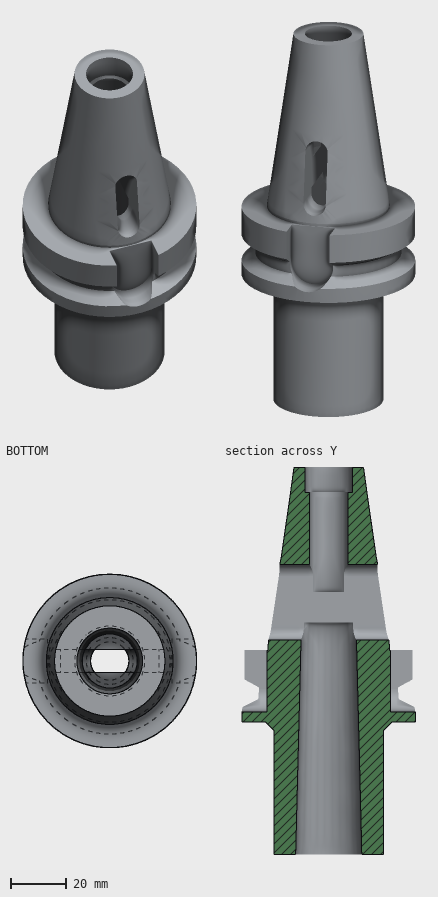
import cadquery as cq
import math


gauge_diameter = 44.45
taper_length = 65.4
taper_ratio = 7 / 24
small_end_diameter = gauge_diameter - taper_length * taper_ratio

flange_diameter = 63.0
flange_top_z = -1.0
flange_bottom_z = -27.0
groove_root_diameter = 53.0
groove_centre_z = -16.6
groove_mouth_width = 10.0
groove_flank_angle = 30.0

nose_diameter = 40.0
nose_end_z = -75.0
nose_cone_height = 3.0
nose_cone_diameter = nose_diameter + 2 * nose_cone_height

key_slot_width = 16.1
key_slot_floor_x = 22.5
key_slot_bottom_z = -23.2

drift_slot_width = 8.3
drift_slot_bottom_z = 2.8
drift_slot_height = 27.3

mouth_diameter = 17.0
mouth_depth = 9.0
draw_bar_hole_diameter = 13.835
draw_bar_hole_bottom_z = 20.0

socket_mouth_diameter = 23.825
socket_taper_ratio = 1 / 19.922
socket_depth = 84.0
socket_top_diameter = socket_mouth_diameter - socket_depth * socket_taper_ratio


def make_body():
    """Revolved outer shape: taper, grooved flange and nose."""
    groove_depth = (flange_diameter - groove_root_diameter) / 2
    flank_height = groove_depth * math.tan(math.radians(groove_flank_angle))
    mouth_half = groove_mouth_width / 2
    root_half = mouth_half - flank_height
    profile = [
        (0, taper_length),
        (-small_end_diameter / 2, taper_length),
        (-gauge_diameter / 2, 0),
        (-gauge_diameter / 2, flange_top_z),
        (-flange_diameter / 2, flange_top_z),
        (-flange_diameter / 2, groove_centre_z + mouth_half),
        (-groove_root_diameter / 2, groove_centre_z + root_half),
        (-groove_root_diameter / 2, groove_centre_z - root_half),
        (-flange_diameter / 2, groove_centre_z - mouth_half),
        (-flange_diameter / 2, flange_bottom_z),
        (-nose_cone_diameter / 2, flange_bottom_z),
        (-nose_diameter / 2, flange_bottom_z - nose_cone_height),
        (-nose_diameter / 2, nose_end_z),
        (0, nose_end_z),
    ]
    return cq.Workplane("YZ").polyline(profile).close().revolve(360, (0, 0), (0, 1))


def make_key_slot(side):
    """Round-bottomed slot, open at the flange top, on the +X (1) or -X (-1) side."""
    half_width = key_slot_width / 2
    arc_centre_z = key_slot_bottom_z + half_width
    return (
        cq.Workplane("YZ", origin=(side * key_slot_floor_x, 0, 0))
        .moveTo(-half_width, flange_top_z)
        .lineTo(-half_width, arc_centre_z)
        .threePointArc((0, key_slot_bottom_z), (half_width, arc_centre_z))
        .lineTo(half_width, flange_top_z)
        .close()
        .extrude(side * flange_diameter / 2)
    )


def make_drift_slot():
    """Upright slot with round ends, cut right through along X."""
    centre_z = drift_slot_bottom_z + drift_slot_height / 2
    return (
        cq.Workplane("YZ")
        .center(0, centre_z)
        .slot2D(drift_slot_height, drift_slot_width, 90)
        .extrude(gauge_diameter / 2, both=True)
    )


def make_upper_bore():
    """Stepped hole from the small end of the taper."""
    mouth = cq.Workplane("XY", origin=(0, 0, taper_length)).circle(mouth_diameter / 2).extrude(-mouth_depth)
    hole = (
        cq.Workplane("XY", origin=(0, 0, draw_bar_hole_bottom_z))
        .circle(draw_bar_hole_diameter / 2)
        .extrude(taper_length - draw_bar_hole_bottom_z)
    )
    return mouth.union(hole)


def make_socket():
    """Morse taper socket opening at the nose end."""
    return (
        cq.Workplane("XY", origin=(0, 0, nose_end_z))
        .circle(socket_mouth_diameter / 2)
        .workplane(offset=socket_depth)
        .circle(socket_top_diameter / 2)
        .loft(ruled=True)
    )


result = make_body()
for side in (1, -1):
    result = result.cut(make_key_slot(side))
result = result.cut(make_upper_bore()).cut(make_socket()).cut(make_drift_slot())